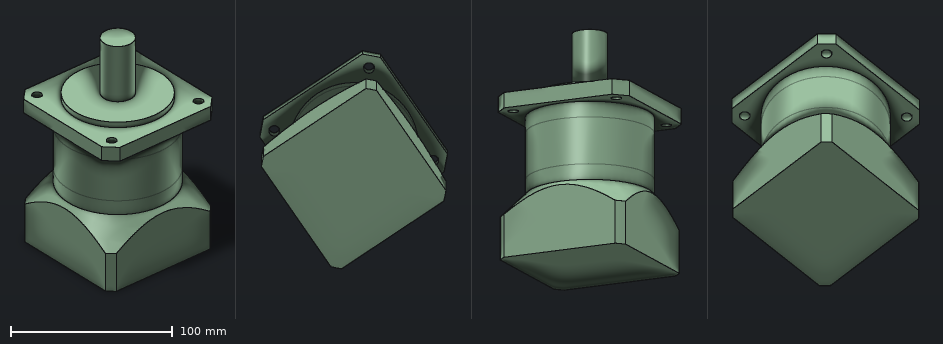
import cadquery as cq

base_side = 86.0
base_height = 45.0
base_corner_diameter = 115.0

housing_diameter = 80.0
ring_heights = (10.0, 30.0, 10.0)

flange_side = 90.0
flange_thickness = 10.0
flange_chamfer = 8.0
hole_diameter = 6.5
bolt_circle_diameter = 100.0
hole_count = 4
first_hole_angle = 45.0

pilot_diameter = 70.0
pilot_height = 4.0
shaft_diameter = 22.0
shaft_length = 40.0

flange_bottom_z = base_height + sum(ring_heights)
pilot_bottom_z = flange_bottom_z + flange_thickness
shaft_bottom_z = pilot_bottom_z + pilot_height


def cylinder(diameter, bottom_z, height):
    """Upright cylinder on the part's axis."""
    return cq.Workplane("XY").workplane(offset=bottom_z).circle(diameter / 2).extrude(height)


def make_base():
    """Square block trimmed by a turned envelope whose shoulder is a 45 degree cone."""
    corner_radius = base_corner_diameter / 2
    neck_radius = housing_diameter / 2
    cone_height = corner_radius - neck_radius
    envelope = (
        cq.Workplane("XZ")
        .moveTo(0, 0)
        .lineTo(corner_radius, 0)
        .lineTo(corner_radius, base_height - cone_height)
        .lineTo(neck_radius, base_height)
        .lineTo(0, base_height)
        .close()
        .revolve(360, (0, 0, 0), (0, 1, 0))
    )
    block = cq.Workplane("XY").rect(base_side, base_side).extrude(base_height)
    return block.intersect(envelope)


def add_housing(body):
    """Stack the flush rings on the base, keeping the seams between them as edges."""
    ring_bottom_z = base_height
    for ring_height in ring_heights:
        ring = cylinder(housing_diameter, ring_bottom_z, ring_height)
        body = body.union(ring, clean=False)
        ring_bottom_z += ring_height
    return body


def make_flange():
    """Square plate with chamfered corners and a through hole near each corner."""
    plate = (
        cq.Workplane("XY")
        .workplane(offset=flange_bottom_z)
        .rect(flange_side, flange_side)
        .extrude(flange_thickness)
        .edges("|Z")
        .chamfer(flange_chamfer)
    )
    holes = (
        cq.Workplane("XY")
        .workplane(offset=flange_bottom_z)
        .polarArray(bolt_circle_diameter / 2, first_hole_angle, 360, hole_count)
        .circle(hole_diameter / 2)
        .extrude(flange_thickness)
    )
    return plate.cut(holes)


pilot = cylinder(pilot_diameter, pilot_bottom_z, pilot_height)
shaft = cylinder(shaft_diameter, shaft_bottom_z, shaft_length)

result = add_housing(make_base())
for upper_piece in (make_flange(), pilot, shaft):
    result = result.union(upper_piece, clean=False)